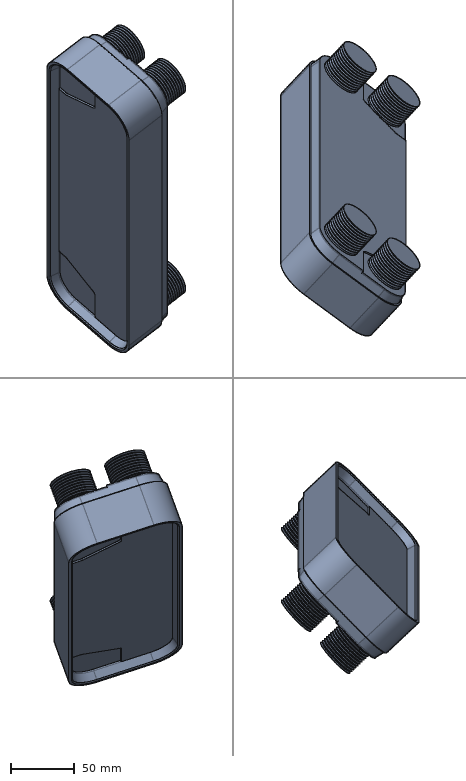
import cadquery as cq
import math


width = 94.0
height = 324.0
corner_radius = 23.5
stack_depth = 35.2
back_face = 44.5
skirt_inset = 1.5
skirt_draft = 11.5
rim_width = 2.4
tray_depth = 8.0
tray_draft = 15.5
rim_bevel = 1.0
bevel_angle = 45.0
back_edge = 1.1

pad_step = 1.3
pad_side = -0.5
pad_corner_z = 124.8
pad_elbow_x = -33.5
pad_slope = 24.7
pad_rounding = 4.0
pad_draft = 25.0

port_x = 22.75
port_z = 135.0
port_length = 23.5
thread_diameter = 33.25
thread_pitch = 2.2
thread_land = 0.2
thread_depth = 1.3
thread_turns = 10


def rounded_plate(inset, y):
    """Plate outline at depth y, inset from the outer edge; extrude it by a negative length toward +Y."""
    return (
        cq.Workplane("XZ", origin=(0, y, 0))
        .sketch()
        .rect(width - 2 * inset, height - 2 * inset)
        .vertices()
        .fillet(corner_radius - inset)
        .finalize()
    )


def draft_run(length, angle):
    """Sideways run of a line that leans by an angle in degrees over a length."""
    return length * math.tan(math.radians(angle))


def corner_pad(end, y, depth, draft=0):
    """Prism over one pad, running past the plate edge; end is +1 at the top and -1 at the bottom."""
    elbow_z = pad_corner_z - draft_run(pad_side - pad_elbow_x, pad_slope)
    points = [
        (pad_side, height),
        (pad_side, pad_corner_z),
        (pad_elbow_x, elbow_z),
        (-width, elbow_z),
        (-width, height),
    ]
    prism = (
        cq.Workplane("XZ", origin=(0, y, 0))
        .polyline([(x, end * z) for x, z in points])
        .close()
        .extrude(-depth, taper=draft)
    )
    for x, z in points[1:3]:
        nearest = cq.selectors.NearestToPointSelector((x, y + depth / 2, end * z))
        prism = prism.edges("not #Y").edges(nearest).fillet(pad_rounding)
    return prism


def make_back(top):
    """Tapered skirt and upright-edged cover of the back, up to Y = top."""
    skirt_depth = top - back_edge - stack_depth
    cover_inset = skirt_inset + draft_run(skirt_depth, skirt_draft)
    skirt = rounded_plate(skirt_inset, stack_depth).extrude(-skirt_depth, taper=skirt_draft)
    return skirt.union(rounded_plate(cover_inset, top - back_edge).extrude(-back_edge))


def make_stack():
    """Straight-sided stack with the back cover, lowered over its two pads."""
    back = make_back(back_face)
    lowered = make_back(back_face - pad_step)
    for end in (1, -1):
        pad = corner_pad(end, stack_depth, back_face)
        back = back.cut(pad).union(lowered.intersect(pad))
    return rounded_plate(0, 0).extrude(-stack_depth).union(back)


def make_tray():
    """Solid that fills the hollow of the front tray, deeper over its two pads."""
    wall_inset = rim_width + rim_bevel
    wall_depth = tray_depth - rim_bevel
    floor_inset = wall_inset + draft_run(wall_depth, tray_draft)
    tray = rounded_plate(rim_width, 0).extrude(-rim_bevel, taper=bevel_angle)
    tray = tray.union(rounded_plate(wall_inset, rim_bevel).extrude(-wall_depth, taper=tray_draft))
    floor = rounded_plate(floor_inset, tray_depth).extrude(-pad_step)
    for end in (1, -1):
        tray = tray.union(floor.intersect(corner_pad(end, tray_depth, pad_step, pad_draft)))
    return tray


def make_port(x, z, seat):
    """Port with ring-shaped V grooves counted from its free end, standing at Y = seat."""
    crest = thread_diameter / 2
    root = crest - thread_depth
    groove = thread_pitch - thread_land
    profile = cq.Workplane("XY").moveTo(0, 0).lineTo(0, port_length).lineTo(crest, port_length)
    for turn in range(thread_turns):
        land_y = port_length - turn * thread_pitch - thread_land
        profile = profile.lineTo(crest, land_y)
        profile = profile.lineTo(root, land_y - groove / 2)
        profile = profile.lineTo(crest, land_y - groove)
    profile = profile.lineTo(crest, 0).close()
    return profile.revolve(360, (0, 0, 0), (0, 1, 0)).translate((x, seat, z))


housing = make_stack().cut(make_tray())
ports = []
for end in (1, -1):
    ports.append(make_port(-port_x, end * port_z, back_face - pad_step))
    ports.append(make_port(port_x, end * port_z, back_face))

result = cq.Compound.makeCompound([housing.val()] + [port.val() for port in ports])